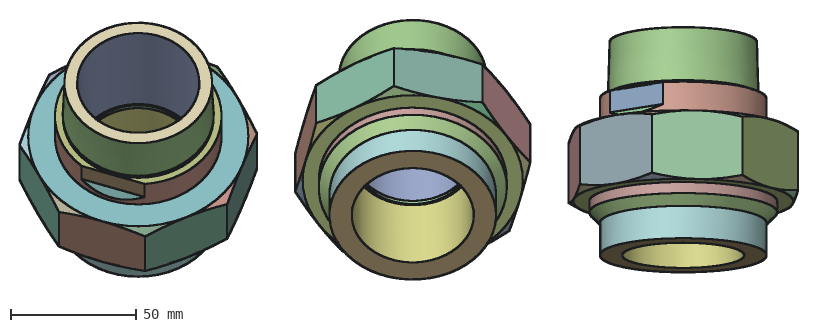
import cadquery as cq
import math

NUT_BOTTOM = 22.0
NUT_TOP = 50.0
SHOULDER_TOP = 64.0
TOTAL_HEIGHT = 87.0

BORE_RADIUS = 24.4
BODY_RADIUS = 33.3
JOINT_RADIUS = 37.6

NUT_SIDES = 8
NUT_ACROSS_FLATS = 88.0
NUT_CHAMFER_ANGLE = math.radians(30)
NUT_LIP_THICKNESS = 6.0

COLLAR_THICKNESS = 6.0
GASKET_THICKNESS = 2.0
GASKET_BORE_RADIUS = 23.8
LIP_BOTTOM = NUT_TOP - NUT_LIP_THICKNESS
COLLAR_BOTTOM = LIP_BOTTOM - COLLAR_THICKNESS
GASKET_BOTTOM = COLLAR_BOTTOM - GASKET_THICKNESS

CONE_TOP = 17.5
CONE_BOTTOM = CONE_TOP - (JOINT_RADIUS - BODY_RADIUS)

THREAD_BASE_RADIUS = 30.2
GROOVE_DEPTH = 0.6
GROOVE_ROOT_HEIGHT = SHOULDER_TOP + GROOVE_DEPTH
GROOVE_ROOT_RADIUS = THREAD_BASE_RADIUS - GROOVE_DEPTH
THREAD_BOTTOM = GROOVE_ROOT_HEIGHT + GROOVE_DEPTH
THREAD_TAPER = 1 / 16
THREAD_TIP_RADIUS = THREAD_BASE_RADIUS - (TOTAL_HEIGHT - THREAD_BOTTOM) * THREAD_TAPER / 2

FLAT_DISTANCE = 30.5
FLAT_BOTTOM = 55.0


def revolve_profile(points):
    """Turn a closed (radius, height) outline about the Z axis."""
    return cq.Workplane("XZ").polyline(points).close().revolve(360, (0, 0, 0), (0, 1, 0))


def make_ring(outer_radius, inner_radius, bottom, top):
    return (
        cq.Workplane("XY")
        .workplane(offset=bottom)
        .circle(outer_radius)
        .circle(inner_radius)
        .extrude(top - bottom)
    )


def make_lower_end():
    return revolve_profile([
        (BORE_RADIUS, 0),
        (BODY_RADIUS, 0),
        (BODY_RADIUS, CONE_BOTTOM),
        (JOINT_RADIUS, CONE_TOP),
        (JOINT_RADIUS, GASKET_BOTTOM),
        (BORE_RADIUS, GASKET_BOTTOM),
    ])


def make_gasket():
    return make_ring(JOINT_RADIUS, GASKET_BORE_RADIUS, GASKET_BOTTOM, COLLAR_BOTTOM)


def make_flat_cutter():
    """Cutter for the wrench flat on the -Y side, with a 45 degree runout at its foot."""
    margin = 1.0
    depth = BODY_RADIUS - FLAT_DISTANCE + margin
    outer_y = -FLAT_DISTANCE - depth
    return (
        cq.Workplane("YZ")
        .polyline([
            (-FLAT_DISTANCE, SHOULDER_TOP),
            (-FLAT_DISTANCE, FLAT_BOTTOM),
            (outer_y, FLAT_BOTTOM - depth),
            (outer_y, SHOULDER_TOP),
        ])
        .close()
        .extrude(BODY_RADIUS, both=True)
    )


def make_upper_end():
    body = revolve_profile([
        (BORE_RADIUS, COLLAR_BOTTOM),
        (JOINT_RADIUS, COLLAR_BOTTOM),
        (JOINT_RADIUS, LIP_BOTTOM),
        (BODY_RADIUS, LIP_BOTTOM),
        (BODY_RADIUS, SHOULDER_TOP),
        (THREAD_BASE_RADIUS, SHOULDER_TOP),
        (GROOVE_ROOT_RADIUS, GROOVE_ROOT_HEIGHT),
        (THREAD_BASE_RADIUS, THREAD_BOTTOM),
        (THREAD_TIP_RADIUS, TOTAL_HEIGHT),
        (BORE_RADIUS, TOTAL_HEIGHT),
    ])
    cutter = make_flat_cutter()
    for angle in (0, 180):
        body = body.cut(cutter.rotate((0, 0, 0), (0, 0, 1), angle))
    return body


def make_nut():
    flat_radius = NUT_ACROSS_FLATS / 2
    half_side_angle = math.pi / NUT_SIDES
    corner_radius = flat_radius / math.cos(half_side_angle)
    corner_drop = (corner_radius - flat_radius) * math.tan(NUT_CHAMFER_ANGLE)

    octagon = (
        cq.Workplane("XY")
        .workplane(offset=NUT_BOTTOM)
        .polygon(NUT_SIDES, 2 * corner_radius)
        .extrude(NUT_TOP - NUT_BOTTOM)
        .rotate((0, 0, 0), (0, 0, 1), math.degrees(half_side_angle))
    )
    envelope = revolve_profile([
        (JOINT_RADIUS, NUT_BOTTOM),
        (flat_radius, NUT_BOTTOM),
        (corner_radius, NUT_BOTTOM + corner_drop),
        (corner_radius, NUT_TOP - corner_drop),
        (flat_radius, NUT_TOP),
        (BODY_RADIUS, NUT_TOP),
        (BODY_RADIUS, LIP_BOTTOM),
        (JOINT_RADIUS, LIP_BOTTOM),
    ])
    return octagon.intersect(envelope)


lower_end = make_lower_end()
gasket = make_gasket()
upper_end = make_upper_end()
union_nut = make_nut()

result = cq.Compound.makeCompound([
    lower_end.val(),
    gasket.val(),
    upper_end.val(),
    union_nut.val(),
])